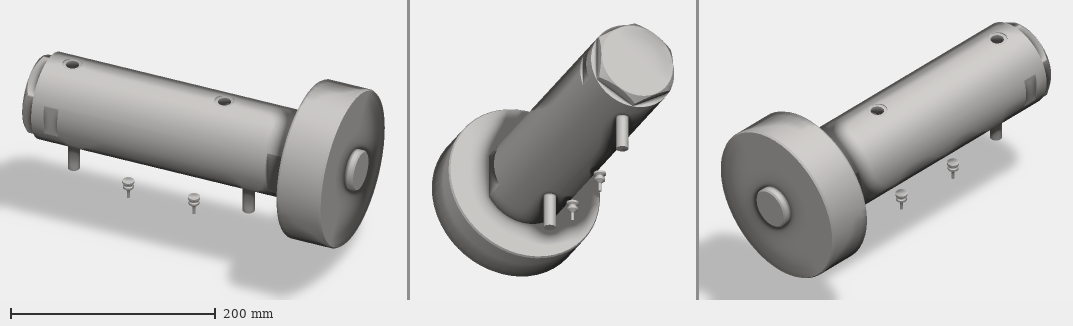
import cadquery as cq
import math


hexagon_across_flats = 76.0
hexagon_length = 12.3
hexagon_face_diameter = 75.0
hexagon_corner_diameter = 87.2
flange_thickness = 2.3
spigot_diameter = 56.0
spigot_end = 41.0

housing_diameter = 88.0
housing_start = hexagon_length + flange_thickness
housing_end = 261.4
port_positions = (37.2, 199.3)
port_diameter = 13.0
spotface_diameter = 19.8
spotface_depth = 1.2
pocket_start = 25.0
pocket_length = 15.0
pocket_across_flats = 82.0

roller_diameter = 160.0
roller_start = 288.7
roller_width = 47.0
roller_end = roller_start + roller_width
roller_chamfer_length = 2.0
roller_chamfer_depth = 1.2
neck_across_flats = hexagon_across_flats
stub_diameter = 41.0
stub_end = 344.3
stub_chamfer = 1.5
shaft_diameter = 64.0
journal_diameter = 76.0
journal_start = port_positions[1]

pin_diameter = 12.0
pin_positions = (38.8, 225.0)
pin_bottom = -78.0
pin_top = -40.0

plug_positions = (96.8, 166.7)
plug_top = -77.6
plug_bottom = -97.5
plug_head_radius = 6.0
plug_head_depth = 2.0
plug_waist_radius = 3.8
plug_waist_start = 3.8
plug_waist_end = 5.2
plug_collar_radius = 5.3
plug_collar_start = 5.9
plug_collar_end = 8.2
plug_stem_radius = 1.5
plug_stem_start = 11.6


def cylinder_along_x(diameter, start, end):
    return cq.Workplane("YZ", origin=(start, 0, 0)).circle(diameter / 2).extrude(end - start)


def cylinder_along_z(diameter, x, bottom, top):
    return cq.Workplane("XY", origin=(x, 0, bottom)).circle(diameter / 2).extrude(top - bottom)


def slab_across_y(start, end, across_flats):
    """A block as tall as the housing, bounded by two flats at equal distances from the X axis."""
    return cq.Workplane("XY", origin=((start + end) / 2, 0, 0)).box(end - start, across_flats, housing_diameter)


def make_cap():
    hexagon = (
        cq.Workplane("YZ")
        .transformed(rotate=(0, 0, 90))
        .polygon(6, hexagon_across_flats / math.cos(math.pi / 6))
        .extrude(hexagon_length)
    )
    corner_chamfer = (hexagon_corner_diameter - hexagon_face_diameter) / 2
    corner_trim = (
        cylinder_along_x(hexagon_corner_diameter, 0, hexagon_length)
        .faces("<X")
        .chamfer(corner_chamfer)
    )
    flange = cylinder_along_x(housing_diameter, hexagon_length, housing_start)
    spigot = cylinder_along_x(spigot_diameter, housing_start, spigot_end)
    return hexagon.intersect(corner_trim).union(flange).union(spigot)


def make_disc():
    """The roller disc, with a chamfer on each rim that is longer along X than it is deep."""
    rim_radius = roller_diameter / 2
    face_radius = rim_radius - roller_chamfer_depth
    profile = [
        (roller_start, 0),
        (roller_start, face_radius),
        (roller_start + roller_chamfer_length, rim_radius),
        (roller_end - roller_chamfer_length, rim_radius),
        (roller_end, face_radius),
        (roller_end, 0),
    ]
    return cq.Workplane("XY").polyline(profile).close().revolve(360, (0, 0, 0), (1, 0, 0))


def make_roller():
    disc = make_disc()
    neck = cylinder_along_x(housing_diameter, housing_end, roller_start).intersect(
        slab_across_y(housing_end, roller_start, neck_across_flats)
    )
    stub = cylinder_along_x(stub_diameter, roller_end, stub_end).faces(">X").chamfer(stub_chamfer)
    shaft = cylinder_along_x(shaft_diameter, spigot_end, journal_start)
    journal = cylinder_along_x(journal_diameter, journal_start, housing_end)
    return disc.union(neck).union(stub).union(journal).union(shaft)


def make_pin(x):
    return cylinder_along_z(pin_diameter, x, pin_bottom, pin_top)


def make_plug(x):
    profile = [
        (0, 0),
        (plug_head_radius, 0),
        (plug_head_radius, -plug_head_depth),
        (plug_waist_radius, -plug_waist_start),
        (plug_waist_radius, -plug_waist_end),
        (plug_collar_radius, -plug_collar_start),
        (plug_collar_radius, -plug_collar_end),
        (plug_stem_radius, -plug_stem_start),
        (plug_stem_radius, plug_bottom - plug_top),
        (0, plug_bottom - plug_top),
    ]
    return (
        cq.Workplane("XZ", origin=(x, 0, plug_top))
        .polyline(profile)
        .close()
        .revolve(360, (0, 0, 0), (0, 1, 0))
    )


def cut_port(body, x):
    surface = housing_diameter / 2
    bore = cylinder_along_z(port_diameter, x, 0, surface)
    spotface = cylinder_along_z(spotface_diameter, x, surface - spotface_depth, surface)
    return body.cut(bore).cut(spotface)


def cut_pockets(body):
    pocket_end = pocket_start + pocket_length
    outside_flats = slab_across_y(pocket_start, pocket_end, housing_diameter).cut(
        slab_across_y(pocket_start, pocket_end, pocket_across_flats)
    )
    return body.cut(outside_flats)


def make_housing(inner_bodies):
    body = cylinder_along_x(housing_diameter, housing_start, housing_end)
    for inner_body in inner_bodies:
        body = body.cut(inner_body)
    for x in port_positions:
        body = cut_port(body, x)
    return cut_pockets(body)


cap = make_cap()
roller = make_roller()
pins = [make_pin(x) for x in pin_positions]
plugs = [make_plug(x) for x in plug_positions]
housing = make_housing([cap, roller] + pins)

result = cq.Compound.makeCompound(
    [housing.val(), cap.val(), roller.val()] + [body.val() for body in pins + plugs]
)